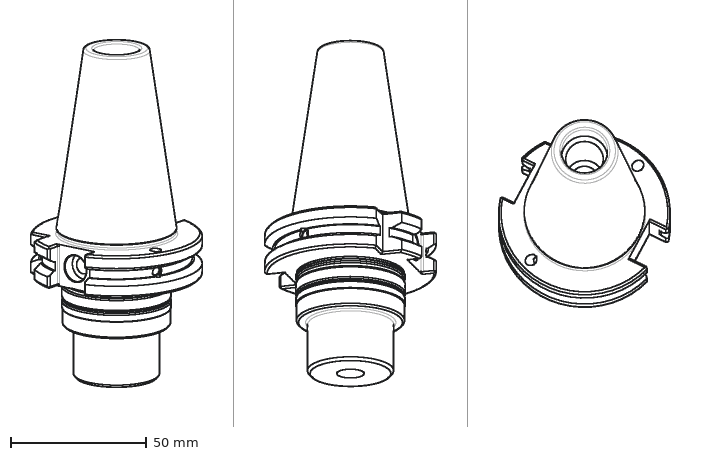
import cadquery as cq
import math

total_height = 126.2
collar_bottom = 20.0
flange_bottom = 39.0
flange_top = 55.0
gauge_height = 57.8
taper_bottom = 57.1
flange_mid = (flange_bottom + flange_top) / 2

gauge_radius = 22.2
taper_per_length = 7 / 24
taper_length = total_height - gauge_height
taper_top_radius = gauge_radius - taper_length * taper_per_length / 2
taper_bottom_radius = gauge_radius + (gauge_height - taper_bottom) * taper_per_length / 2
taper_top_fillet = 1.0
undercut_radius = 22.0
undercut_bevel = 0.4
root_fillet = 0.6

flange_radius = 63.5 / 2
flange_chamfer = 0.9
groove_floor_radius = 28.0
groove_floor_width = 3.4
groove_mouth_width = 6.8
groove_wall_angle = 30.0

neck_radius = 40.0 / 2
land_radius = 40.5 / 2
collar_groove_radius = 19.8
collar_chamfer = 0.8
land_heights = [(26.8, 29.2), (31.0, 34.8), (37.2, 38.0)]
land_bevel = 0.6
land_step = land_radius - neck_radius

nose_radius = 32.0 / 2
nose_root_fillet = 0.8
nose_chamfer_radial = 1.0
nose_chamfer_axial = 1.1

through_radius = 10.1 / 2
thread_radius = 13.9 / 2
thread_depth = 31.5
counterbore_radius = 17.0 / 2
counterbore_depth = 8.2
bore_mouth_fillet = 0.8
drill_tip_half_angle = 60.0

slot_width = 16.2
edge_chamfer = 0.8
front_slot_floor = 25.0
back_slot_floor = 22.7
front_slot_fillet = 0.6
notch_offset = 18.4

pin_hole_diameter = 10.0
pin_hole_depth = 4.7
pin_pilot_diameter = 6.0
pin_hole_chamfer = 0.3

coolant_angles = (160.0, 340.0)
coolant_diameter = 3.9
coolant_radius = 27.0
coolant_tilt = 32.0
plug_diameter = 3.3
plug_seat_diameter = 3.9
plug_seat_depth = 1.3

cut_margin = 1.3


def turned_body():
    """Outside of the holder, revolved about Z."""
    groove_wall_inner_radius = flange_radius - (
        (groove_mouth_width - groove_floor_width) / 2 / math.tan(math.radians(groove_wall_angle))
    )
    outline = (
        cq.Workplane("XZ")
        .moveTo(0, 0)
        .lineTo(nose_radius - nose_chamfer_radial, 0)
        .lineTo(nose_radius, nose_chamfer_axial)
        .lineTo(nose_radius, collar_bottom - nose_root_fillet)
        .radiusArc((nose_radius + nose_root_fillet, collar_bottom), nose_root_fillet)
        .lineTo(neck_radius - collar_chamfer, collar_bottom)
        .lineTo(neck_radius, collar_bottom + collar_chamfer)
    )

    outline = outline.lineTo(neck_radius, land_heights[0][0] - land_step)
    for land_bottom, land_top in land_heights:
        if land_bottom > land_heights[0][0]:
            outline = outline.lineTo(collar_groove_radius, land_bottom - land_bevel)
        outline = outline.lineTo(land_radius, land_bottom).lineTo(land_radius, land_top)
        if land_top < land_heights[-1][1]:
            outline = outline.lineTo(collar_groove_radius, land_top + land_bevel)
    outline = outline.lineTo(neck_radius, land_heights[-1][1] + land_step)

    outline = (
        outline
        .lineTo(neck_radius, flange_bottom)
        .lineTo(flange_radius - flange_chamfer, flange_bottom)
        .lineTo(flange_radius, flange_bottom + flange_chamfer)
        .lineTo(flange_radius, flange_mid - groove_mouth_width / 2)
        .lineTo(groove_wall_inner_radius, flange_mid - groove_floor_width / 2)
        .lineTo(groove_floor_radius, flange_mid - groove_floor_width / 2)
        .lineTo(groove_floor_radius, flange_mid + groove_floor_width / 2)
        .lineTo(groove_wall_inner_radius, flange_mid + groove_floor_width / 2)
        .lineTo(flange_radius, flange_mid + groove_mouth_width / 2)
        .lineTo(flange_radius, flange_top - flange_chamfer)
        .lineTo(flange_radius - flange_chamfer, flange_top)
        .lineTo(undercut_radius + root_fillet, flange_top)
        .radiusArc((undercut_radius, flange_top + root_fillet), root_fillet)
        .lineTo(undercut_radius, taper_bottom - undercut_bevel)
        .lineTo(taper_bottom_radius, taper_bottom)
        .lineTo(taper_top_radius, total_height)
        .lineTo(0, total_height)
        .close()
    )
    body = outline.revolve(360, (0, 0, 0), (0, 1, 0))
    return body.edges(">Z").fillet(taper_top_fillet)


def axial_bore():
    """Stepped pull-stud bore at the taper end, continuing as a plain through hole."""
    shoulder_depth = counterbore_radius - thread_radius
    tip_depth = (thread_radius - through_radius) / math.tan(math.radians(drill_tip_half_angle))
    outline = (
        cq.Workplane("XZ")
        .moveTo(0, 0)
        .lineTo(through_radius, 0)
        .lineTo(through_radius, total_height - thread_depth - tip_depth)
        .lineTo(thread_radius, total_height - thread_depth)
        .lineTo(thread_radius, total_height - counterbore_depth - shoulder_depth)
        .lineTo(counterbore_radius, total_height - counterbore_depth)
        .lineTo(counterbore_radius, total_height - bore_mouth_fillet)
        .radiusArc((counterbore_radius + bore_mouth_fillet, total_height), bore_mouth_fillet)
        .lineTo(0, total_height)
        .close()
    )
    return outline.revolve(360, (0, 0, 0), (0, 1, 0))


def drive_slot(floor_distance, floor_fillet):
    """Slot cutter open toward +Y, with its edges flared where it meets the flange surfaces."""
    half_width = slot_width / 2
    flared_half_width = half_width + edge_chamfer
    length = flange_radius - floor_distance + cut_margin
    height = flange_top - flange_bottom

    walls = (
        cq.Workplane("XY")
        .box(slot_width, length, height, centered=(True, False, False))
        .translate((0, floor_distance, flange_bottom))
    )
    if floor_fillet > 0:
        walls = walls.edges("|Z and <Y").fillet(floor_fillet)

    face_flare = (
        cq.Workplane("XZ")
        .moveTo(-flared_half_width, flange_top)
        .lineTo(flared_half_width, flange_top)
        .lineTo(half_width, flange_top - edge_chamfer)
        .lineTo(-half_width, flange_top - edge_chamfer)
        .close()
        .extrude(-length)
        .translate((0, floor_distance, 0))
    )
    mouth_start = math.sqrt(flange_radius**2 - flared_half_width**2) - edge_chamfer
    mouth_flare = (
        cq.Workplane("XY")
        .moveTo(-half_width, mouth_start)
        .lineTo(half_width, mouth_start)
        .lineTo(half_width + 2 * edge_chamfer, mouth_start + 2 * edge_chamfer)
        .lineTo(-half_width - 2 * edge_chamfer, mouth_start + 2 * edge_chamfer)
        .close()
        .extrude(height)
        .translate((0, 0, flange_bottom))
    )
    lower_face_flare = face_flare.mirror("XY", (0, 0, flange_mid))
    return walls.union(face_flare).union(lower_face_flare).union(mouth_flare)


def corner_notch():
    """Square notch cutter in the -X -Y quadrant, flared at both flange faces."""
    height = flange_top - flange_bottom
    size = flange_radius
    notch = cq.Workplane("XY").box(size, size, height, centered=False)
    notch = notch.translate((-notch_offset - size, -notch_offset - size, flange_bottom))
    corner = -notch_offset + edge_chamfer
    upper_flare = (
        cq.Workplane("XY", origin=(corner - size / 2, corner - size / 2, flange_top))
        .rect(size, size)
        .workplane(offset=-edge_chamfer)
        .center(-edge_chamfer, -edge_chamfer)
        .rect(size, size)
        .loft(ruled=True)
    )
    lower_flare = upper_flare.mirror("XY", (0, 0, flange_mid))
    return notch.union(upper_flare).union(lower_flare)


def pin_hole():
    """Flat-bottomed blind hole with a conical centre mark, entering from the front slot floor."""
    floor_y = -front_slot_floor
    hole_end_y = floor_y + pin_hole_depth
    cone_depth = pin_pilot_diameter / 2 / math.tan(math.radians(drill_tip_half_angle))
    outline = (
        cq.Workplane("XY")
        .moveTo(0, floor_y)
        .lineTo(pin_hole_diameter / 2 + pin_hole_chamfer, floor_y)
        .lineTo(pin_hole_diameter / 2, floor_y + pin_hole_chamfer)
        .lineTo(pin_hole_diameter / 2, hole_end_y)
        .lineTo(pin_pilot_diameter / 2, hole_end_y)
        .lineTo(0, hole_end_y + cone_depth)
        .close()
    )
    return outline.revolve(360, (0, 0, 0), (0, 1, 0)).translate((0, 0, flange_mid))


def coolant_passage():
    """Inclined hole down to the groove height, meeting a stepped radial plug hole, cut along +X."""
    drop = flange_top - flange_mid
    tilt = math.radians(coolant_tilt)
    junction_radius = coolant_radius - drop * math.tan(tilt)
    upward = cq.Vector(math.sin(tilt), 0, math.cos(tilt))
    outward = cq.Vector(1, 0, 0)
    junction = cq.Vector(junction_radius, 0, flange_mid)
    inclined_length = drop / math.cos(tilt)
    inclined = cq.Solid.makeCylinder(
        coolant_diameter / 2,
        inclined_length + cut_margin,
        junction,
        upward,
    )
    plug = cq.Solid.makeCylinder(
        plug_diameter / 2,
        groove_floor_radius - junction_radius + cut_margin,
        junction,
        outward,
    )
    plug_seat = cq.Solid.makeCylinder(
        plug_seat_diameter / 2,
        plug_seat_depth + cut_margin,
        cq.Vector(groove_floor_radius - plug_seat_depth, 0, flange_mid),
        outward,
    )
    return cq.Workplane(inclined).union(cq.Workplane(plug)).union(cq.Workplane(plug_seat))


result = turned_body().cut(axial_bore())
result = result.cut(drive_slot(back_slot_floor, 0))
front_slot = drive_slot(front_slot_floor, front_slot_fillet).rotate((0, 0, 0), (0, 0, 1), 180)
result = result.cut(front_slot)
result = result.cut(corner_notch())
result = result.cut(pin_hole())
for angle in coolant_angles:
    result = result.cut(coolant_passage().rotate((0, 0, 0), (0, 0, 1), angle))